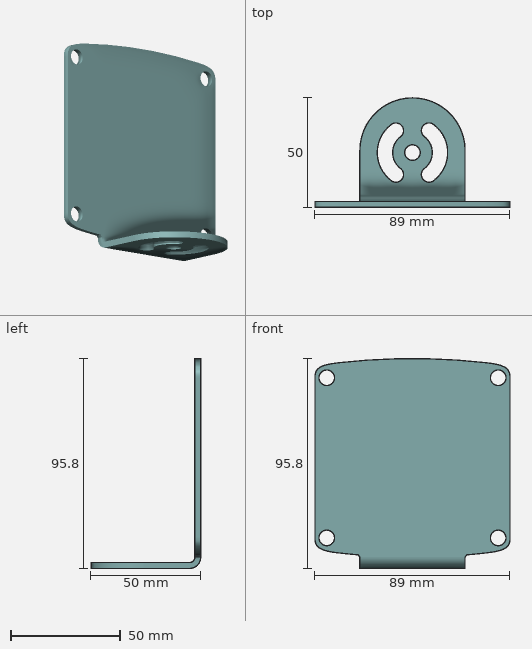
import cadquery as cq
import math

overall_height = 95.75
thickness = 2.8
inside_bend_radius = 2.4
outside_bend_radius = thickness + inside_bend_radius

plate_width = 89.0
plate_bottom = outside_bend_radius
plate_middle = (overall_height + plate_bottom) / 2
half_width = plate_width / 2
half_height = overall_height - plate_middle
edge_half_span = 33.8
crown_height = 1.9
plate_hole_pitch_x = 78.1
plate_hole_pitch_z = 73.0
side_half_length = plate_hole_pitch_z / 2
hole_diameter = 7.0
corner_fullness = 0.77

flange_width = 48.1
flange_length = 50.0
flange_radius = flange_width / 2
flange_center_y = flange_length - flange_radius
relief_width = 0.7

pivot_y = 25.0
slot_radius = 12.5
slot_width = 6.9
slot_half_angle = 53.0

crown_radius = (edge_half_span**2 + crown_height**2) / (2 * crown_height)


def crown_z(x):
    """Height of the crowned edge above the plate's middle."""
    return half_height - crown_radius + math.sqrt(crown_radius**2 - x**2)


def corner_curve(side, end):
    """Bezier points from the plate side to the crowned edge, tangent to both."""
    edge_z = crown_z(edge_half_span)
    slope = edge_half_span / (crown_radius - crown_height)
    run = half_width - edge_half_span
    tangent_z = edge_z - slope * run
    points = [
        (half_width, side_half_length),
        (half_width, side_half_length + corner_fullness * (tangent_z - side_half_length)),
        (edge_half_span + corner_fullness * run, edge_z - corner_fullness * slope * run),
        (edge_half_span, edge_z),
    ]
    return [(side * x, plate_middle + end * z) for x, z in points]


def make_plate():
    top = plate_middle + half_height
    bottom = plate_middle - half_height
    upper_right = corner_curve(1, 1)
    upper_left = corner_curve(-1, 1)
    lower_left = corner_curve(-1, -1)
    lower_right = corner_curve(1, -1)
    outline = (
        cq.Workplane("XZ")
        .moveTo(*upper_right[0])
        .bezier(upper_right)
        .threePointArc((0, top), upper_left[-1])
        .bezier(upper_left[::-1])
        .lineTo(*lower_left[0])
        .bezier(lower_left)
        .threePointArc((0, bottom), lower_right[-1])
        .bezier(lower_right[::-1])
        .close()
    )
    plate = outline.extrude(-thickness)
    holes = (
        cq.Workplane("XZ", origin=(0, 0, plate_middle))
        .rect(plate_hole_pitch_x, plate_hole_pitch_z, forConstruction=True)
        .vertices()
        .circle(hole_diameter / 2)
        .extrude(-thickness)
    )
    return plate.cut(holes)


def make_shoulder():
    """Strip joining the plate's crowned lower edge to the bend."""
    outer_x = flange_radius + relief_width
    outer_z = plate_middle - crown_z(outer_x)
    return (
        cq.Workplane("XZ")
        .polyline([
            (-flange_radius, plate_bottom),
            (flange_radius, plate_bottom),
            (outer_x, outer_z),
            (-outer_x, outer_z),
        ])
        .close()
        .extrude(-thickness)
    )


def make_bend():
    radius = outside_bend_radius
    diagonal = math.sqrt(0.5)
    outer_mid = radius * (1 - diagonal)
    inner_mid = radius - inside_bend_radius * diagonal
    return (
        cq.Workplane("YZ", origin=(-flange_radius, 0, 0))
        .moveTo(0, radius)
        .threePointArc((outer_mid, outer_mid), (radius, 0))
        .lineTo(radius, thickness)
        .threePointArc((inner_mid, inner_mid), (thickness, radius))
        .close()
        .extrude(flange_width)
    )


def make_arc_slot(side):
    """Arc slot with round ends, centered on the pivot; side is -1 or 1."""
    def place(radius, degrees):
        angle = math.radians(degrees)
        return side * radius * math.cos(angle), radius * math.sin(angle)

    outer = slot_radius + slot_width / 2
    inner = slot_radius - slot_width / 2
    angle = slot_half_angle
    end_x, end_y = place(slot_radius, angle)
    cap_x = end_x - side * slot_width / 2 * math.sin(math.radians(angle))
    cap_y = end_y + slot_width / 2 * math.cos(math.radians(angle))
    return (
        cq.Workplane("XY", origin=(0, pivot_y, 0))
        .moveTo(*place(outer, -angle))
        .threePointArc(place(outer, 0), place(outer, angle))
        .threePointArc((cap_x, cap_y), place(inner, angle))
        .threePointArc(place(inner, 0), place(inner, -angle))
        .threePointArc((cap_x, -cap_y), place(outer, -angle))
        .close()
        .extrude(thickness)
    )


def make_flange():
    flange = (
        cq.Workplane("XY")
        .moveTo(-flange_radius, outside_bend_radius)
        .lineTo(flange_radius, outside_bend_radius)
        .lineTo(flange_radius, flange_center_y)
        .threePointArc((0, flange_length), (-flange_radius, flange_center_y))
        .close()
        .extrude(thickness)
    )
    pivot = cq.Workplane("XY").center(0, pivot_y).circle(hole_diameter / 2).extrude(thickness)
    flange = flange.cut(pivot)
    for side in (-1, 1):
        flange = flange.cut(make_arc_slot(side))
    return flange


result = make_plate().union(make_shoulder()).union(make_bend()).union(make_flange())